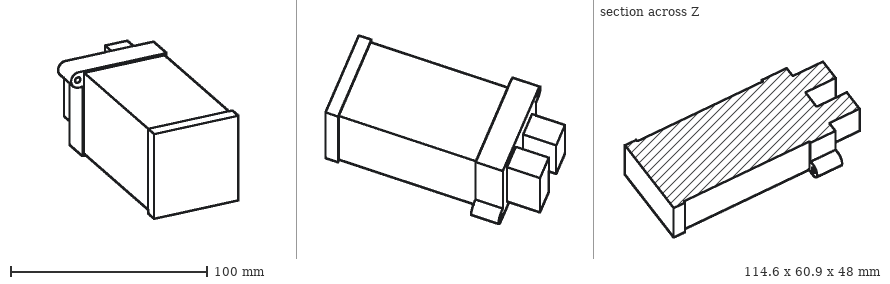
import cadquery as cq

total_length = 114.6
square_side = 48.0
body_side = 46.0

prong_length = 18.0
plate_thickness = 14.9
flange_thickness = 6.9
body_length = total_length - prong_length - plate_thickness - flange_thickness

span_over_ears = 60.9
ear_radius = 4.4
ear_hole_diameter = 3.0
ear_hole_offset = 0.6

prong_width = 12.7
prong_side_inset = 6.0
tall_prong_inset = 6.0
short_prong_top_inset = 11.0
short_prong_bottom_inset = 7.0

half_side = square_side / 2
plate_start = prong_length
body_start = plate_start + plate_thickness
flange_start = body_start + body_length
ear_center_y = span_over_ears / 2 - ear_radius
ear_center_z = half_side - ear_radius
prong_center_y = half_side - prong_side_inset - prong_width / 2


def square_block(start, length, side):
    """Square block centred on the housing axis, extending along +X from start."""
    return cq.Workplane("YZ", origin=(start, 0, 0)).rect(side, side).extrude(length)


def ear(side):
    """Round-ended ear: side=+1 is at the +Y bottom corner, side=-1 at the -Y top corner."""
    center_y = side * ear_center_y
    outer_z = -side * half_side
    center_z = -side * ear_center_z
    inner_z = -side * (half_side - 2 * ear_radius)
    return (
        cq.Workplane("YZ", origin=(plate_start, 0, 0))
        .moveTo(0, outer_z)
        .lineTo(center_y, outer_z)
        .threePointArc((side * span_over_ears / 2, center_z), (center_y, inner_z))
        .lineTo(0, inner_z)
        .close()
        .extrude(plate_thickness)
    )


def ear_hole(side):
    """Through hole in the ear on the given side."""
    hole_y = side * (ear_center_y + ear_hole_offset)
    return (
        cq.Workplane("YZ", origin=(plate_start, 0, 0))
        .center(hole_y, -side * ear_center_z)
        .circle(ear_hole_diameter / 2)
        .extrude(plate_thickness)
    )


def prong(center_y, top_inset, bottom_inset):
    """Rectangular prong from X = 0 to the mounting plate."""
    height = square_side - top_inset - bottom_inset
    center_z = (bottom_inset - top_inset) / 2
    return (
        cq.Workplane("YZ")
        .center(center_y, center_z)
        .rect(prong_width, height)
        .extrude(prong_length)
    )


result = square_block(plate_start, plate_thickness, square_side)
result = result.union(square_block(body_start, body_length, body_side))
result = result.union(square_block(flange_start, flange_thickness, square_side))

result = result.union(prong(prong_center_y, tall_prong_inset, tall_prong_inset))
result = result.union(prong(-prong_center_y, short_prong_top_inset, short_prong_bottom_inset))

for side in (1, -1):
    result = result.union(ear(side)).cut(ear_hole(side))